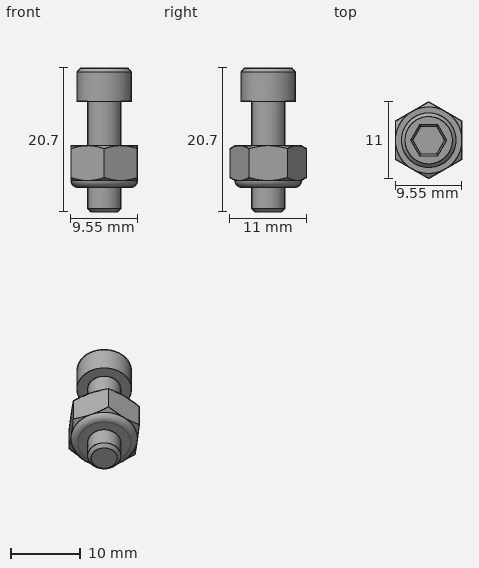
import cadquery as cq
import math

screw_length = 20.65
shank_diameter = 4.77
shank_length = 15.88
tip_chamfer = 0.52
head_diameter = 7.83
head_height = screw_length - shank_length
head_chamfer = 0.52

socket_flats = 3.96
socket_depth = 2.68
mouth_bevel = 0.25

nut_flats = 9.55
hex_bottom = 4.55
hex_height = 5.0
corner_bevel_angle = 30
collar_height = 1.0


def across_corners(flats):
    """Corner-to-corner width of a regular hexagon."""
    return flats / math.cos(math.radians(30))


def make_socket():
    """Volume of the drive socket: a straight hexagon and its bevelled mouth."""
    top = screw_length
    straight = (
        cq.Workplane("XY")
        .workplane(offset=top - socket_depth)
        .polygon(6, across_corners(socket_flats))
        .extrude(socket_depth)
    )
    mouth = (
        cq.Workplane("XY")
        .workplane(offset=top - mouth_bevel)
        .polygon(6, across_corners(socket_flats))
        .workplane(offset=mouth_bevel)
        .polygon(6, across_corners(socket_flats + 2 * mouth_bevel))
        .loft(ruled=True)
    )
    return straight.union(mouth)


def make_screw():
    """Socket head cap screw with a plain shank."""
    shank = (
        cq.Workplane("XY")
        .circle(shank_diameter / 2)
        .extrude(shank_length)
        .faces("<Z")
        .chamfer(tip_chamfer)
    )
    head = (
        cq.Workplane("XY")
        .workplane(offset=shank_length)
        .circle(head_diameter / 2)
        .extrude(head_height)
        .faces(">Z")
        .chamfer(head_chamfer)
    )
    return shank.union(head).cut(make_socket())


def make_bevelled_hexagon():
    """Hexagon with its corners cut by a cone at both ends."""
    corners = across_corners(nut_flats)
    hexagon = (
        cq.Workplane("XY")
        .workplane(offset=hex_bottom)
        .polygon(6, corners)
        .extrude(hex_height)
        .rotate((0, 0, 0), (0, 0, 1), 30)
    )
    bevel_width = (corners - nut_flats) / 2
    bevel_height = bevel_width * math.tan(math.radians(corner_bevel_angle))
    envelope = (
        cq.Workplane("XY")
        .workplane(offset=hex_bottom)
        .circle(corners / 2)
        .extrude(hex_height)
        .faces("<Z or >Z")
        .edges()
        .chamfer(bevel_height, bevel_width)
    )
    return hexagon.intersect(envelope)


def make_nut():
    """Nut whose plain bore fits the shank."""
    flat_radius = nut_flats / 2 - collar_height
    collar_bottom = hex_bottom - collar_height
    collar = (
        cq.Workplane("XZ")
        .moveTo(0, hex_bottom)
        .lineTo(0, collar_bottom)
        .lineTo(flat_radius, collar_bottom)
        .radiusArc((nut_flats / 2, hex_bottom), -collar_height)
        .close()
        .revolve(360, (0, 0, 0), (0, 1, 0))
    )
    bore = cq.Workplane("XY").circle(shank_diameter / 2).extrude(shank_length)
    return make_bevelled_hexagon().union(collar).cut(bore)


screw = make_screw()
nut = make_nut()
result = cq.Compound.makeCompound([screw.solids().val(), nut.solids().val()])